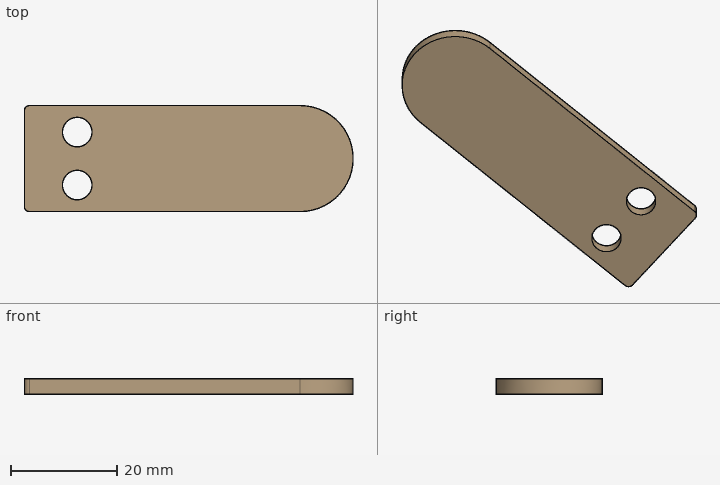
import cadquery as cq

length = 62.0
width = 20.0
thickness = 3.0
corner_radius = 1.0
hole_diameter = 5.5
hole_spacing = 10.0
hole_edge_distance = 10.0

end_radius = width / 2
arc_start_x = length - end_radius


def make_plate():
    """Flat plate with a square end at X = 0 and a full-round end at +X."""
    outline = (
        cq.Workplane("XY")
        .moveTo(0, -width / 2)
        .lineTo(arc_start_x, -width / 2)
        .threePointArc((length, 0), (arc_start_x, width / 2))
        .lineTo(0, width / 2)
        .close()
    )
    plate = outline.extrude(thickness)
    return plate.edges("|Z and <X").fillet(corner_radius)


def make_holes():
    """Pair of through-hole cutters placed symmetrically across the width."""
    centres = [(hole_edge_distance, side * hole_spacing / 2) for side in (-1, 1)]
    return cq.Workplane("XY").pushPoints(centres).circle(hole_diameter / 2).extrude(thickness)


result = make_plate().cut(make_holes())